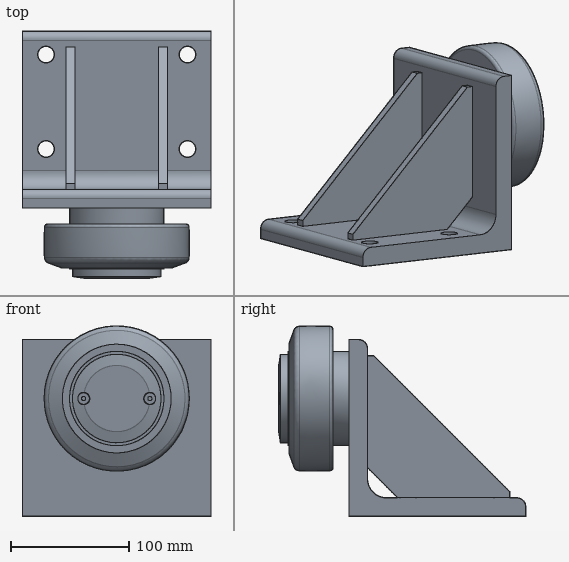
import cadquery as cq
import math

bracket_width = 160.0
leg_length = 150.0
leg_thickness = 16.0
toe_radius = leg_thickness / 2
root_radius = leg_thickness

mount_hole_diameter = 13.8
mount_hole_spacing_x = 119.8
mount_hole_spacing_y = 80.0
mount_hole_back_margin = 20.0

gusset_thickness = 8.0
gusset_spacing = 78.4
gusset_reach = 136.4
gusset_end_height = 5.0
gusset_root_cut = 25.3

roller_axis_height = 100.0
roller_radius = 61.5
crown_drop = 0.31
roller_back = 13.5
roller_front = 51.0
front_face_radius = 46.0
front_cone_angle = 20.0
back_fillet = 3.0
front_fillet = 5.5
stem_radius = 80.0 / 2
hub_radius = 75.0 / 2
hub_rim = 58.0
hub_front = 59.5
hub_flat_radius = 28.0
inner_ring_height = 0.6

socket_steps = [
    (10.5, 0.6),
    (9.8, 1.9),
    (3.5, 2.3),
]


def make_angle():
    """L-shaped section with rounded toes and root, extruded along X."""
    section = (
        cq.Workplane("YZ")
        .polyline([
            (0, 0),
            (leg_length, 0),
            (leg_length, leg_thickness),
            (leg_thickness, leg_thickness),
            (leg_thickness, leg_length),
            (0, leg_length),
        ])
        .close()
        .extrude(bracket_width / 2, both=True)
    )
    toe_positions = [(leg_length, leg_thickness), (leg_thickness, leg_length)]
    for y, z in toe_positions:
        section = section.edges(cq.NearestToPointSelector((0, y, z))).fillet(toe_radius)
    root = cq.NearestToPointSelector((0, leg_thickness, leg_thickness))
    return section.edges(root).fillet(root_radius)


def make_mount_holes():
    center_y = leg_length - mount_hole_back_margin - mount_hole_spacing_y / 2
    return (
        cq.Workplane("XY")
        .center(0, center_y)
        .rarray(mount_hole_spacing_x, mount_hole_spacing_y, 2, 2)
        .circle(mount_hole_diameter / 2)
        .extrude(leg_thickness)
    )


def make_gusset(center_x):
    """Diagonal plate with blunt ends and a clipped root corner."""
    inner = leg_thickness
    end = inner + gusset_end_height
    clip = inner + gusset_root_cut
    return (
        cq.Workplane("YZ", origin=(center_x, 0, 0))
        .polyline([
            (clip, inner),
            (gusset_reach, inner),
            (gusset_reach, end),
            (end, gusset_reach),
            (inner, gusset_reach),
            (inner, clip),
        ])
        .close()
        .extrude(gusset_thickness / 2, both=True)
    )


def revolve_about_roller_axis(profile):
    """Turn a closed (radius, distance) profile about the roller axis."""
    return profile.close().revolve(360, (0, 0, 0), (0, 1, 0)).translate((0, 0, roller_axis_height))


def make_roller():
    """Crowned roller with a conical front shoulder, rounded corners and a proud inner ring."""
    edge_radius = roller_radius - crown_drop
    shoulder = roller_front - (edge_radius - front_face_radius) * math.tan(math.radians(front_cone_angle))
    roller = revolve_about_roller_axis(
        cq.Workplane("XY")
        .moveTo(0, -roller_back)
        .lineTo(edge_radius, -roller_back)
        .threePointArc((roller_radius, -(roller_back + shoulder) / 2), (edge_radius, -shoulder))
        .lineTo(front_face_radius, -roller_front)
        .lineTo(0, -roller_front)
    )
    for distance, radius in [(roller_back, back_fillet), (shoulder, front_fillet)]:
        rim = cq.NearestToPointSelector((0, -distance, roller_axis_height))
        roller = roller.edges(rim).fillet(radius)
    inner_ring = make_disc(stem_radius, roller_back, roller_front + inner_ring_height)
    return roller.union(inner_ring)


def make_disc(radius, start, end):
    """Cylinder on the roller axis between two distances from the bracket."""
    return (
        cq.Workplane("XZ", origin=(0, -start, roller_axis_height))
        .circle(radius)
        .extrude(end - start)
    )


def make_hub():
    """Hub with a shallow conical front around a flat face."""
    return revolve_about_roller_axis(
        cq.Workplane("XY")
        .moveTo(0, -roller_back)
        .lineTo(hub_radius, -roller_back)
        .lineTo(hub_radius, -hub_rim)
        .lineTo(hub_flat_radius, -hub_front)
        .lineTo(0, -hub_front)
    )


def cut_pin_sockets(body):
    """Sink a stepped socket at each side of the flat face."""
    for x in (-hub_flat_radius, hub_flat_radius):
        for diameter, depth in socket_steps:
            step = make_disc(diameter / 2, hub_front - depth, hub_front)
            body = body.cut(step.translate((x, 0, 0)))
    return body


result = make_angle().cut(make_mount_holes())
for gusset_x in (-gusset_spacing / 2, gusset_spacing / 2):
    result = result.union(make_gusset(gusset_x))
result = result.union(make_disc(stem_radius, 0, roller_back))
result = result.union(make_roller()).union(make_hub())
result = cut_pin_sockets(result)